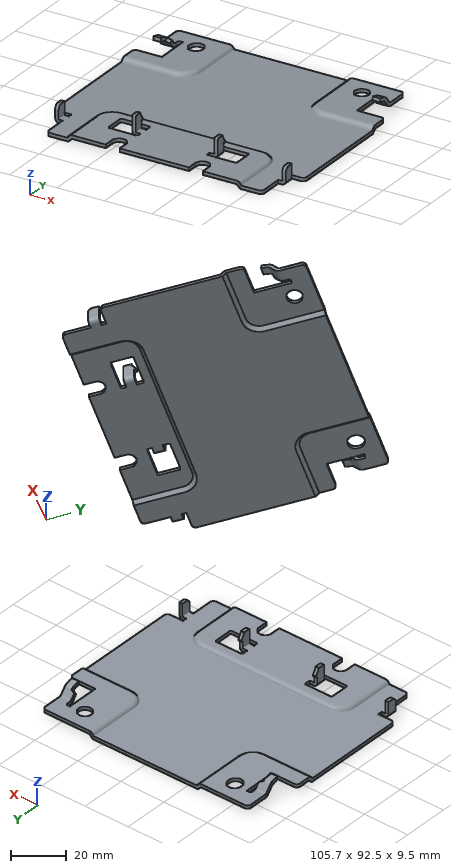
import cadquery as cq
import math


thickness = 1.5
length = 105.7
depth = 92.5
half_length = length / 2
back = depth / 2
front = -depth / 2
corner_radius = 1.6
bend_radius = 0.3
raised_top = 2 * thickness

back_half_width = 47.8
front_half_width = 45.5
back_shoulder = back - 21.5
front_shoulder = front + 16.8
relief_inner = 41.1
relief_end = back - 7.3
relief_radius = 0.6

step_width = 2.2
foot_radius = 0.2
hollow_inset = 0.4
hollow_draft = 45.0
pad_corner_radius = 7.0
back_pad_inner = 24.0
back_pad_front = back - 29.9
front_pad_half_width = 36.7
front_pad_back = front + 26.1
overhang = 10.6

hole_x = 34.9
hole_y = back - 8.2
hole_diameter = 5.9
hole_elongation = 0.5
notch_x = 17.5
notch_width = 5.8
notch_depth = 7.2
window_inner = 14.6
window_outer = 27.1
window_front = front + 12.2
window_back = front + 20.8
window_radius = 0.5

tab_overlap = 0.5

tab_top = 9.5
tab_outer_face = 18.1
tab_front = front + 14.1
tab_back = front + 18.1
tab_corner_radius = 0.6
barb_tip = front + 18.8
barb_low = 5.8
barb_middle = 6.2
barb_high = 6.7
barb_shoulder = 8.4
barb_shoulder_back = front + 17.7
barb_top_back = front + 17.2

side_tab_top = 7.1
side_tab_outer_face = 48.6
side_tab_front = front + 10.9
side_tab_back = front + 15.0
side_tab_radius = 2.0

clip_inner = 42.9
clip_tip_inner = 44.6
clip_bend = back - 9.9
clip_root = back - 9.2
clip_crest = back - 12.9
clip_end = back - 16.4
clip_shoulder_start = 3.0
clip_shoulder_end = 3.8
shoulder_cut_length = 10.6
clip_bend_radius = 1.1
clip_first_slope = 50.0
clip_second_slope = 14.0


def box(x_min, x_max, y_min, y_max, z_min, z_max):
    """Box between the given limits."""
    size = (x_max - x_min, y_max - y_min, z_max - z_min)
    return cq.Workplane("XY").box(*size, centered=False).translate((x_min, y_min, z_min))


def both_sides(body):
    """Body together with its mirror image across the YZ plane."""
    return body.union(body.mirror("YZ"))


def pads(inset, height, taper=0, crest_radius=0):
    """Three pad blocks, set in from the pad feet, running out past the sheet edges."""
    side = half_length + overhang
    footprints = (
        (-side, -back_pad_inner, back_pad_front, back + overhang),
        (back_pad_inner, side, back_pad_front, back + overhang),
        (-front_pad_half_width, front_pad_half_width, front - overhang, front_pad_back),
    )
    blocks = cq.Workplane("XY")
    for x_min, x_max, y_min, y_max in footprints:
        block = (
            cq.Workplane("XY", origin=((x_min + x_max) / 2, (y_min + y_max) / 2, 0))
            .sketch()
            .rect(x_max - x_min - 2 * inset, y_max - y_min - 2 * inset)
            .vertices()
            .fillet(pad_corner_radius - inset)
            .finalize()
            .extrude(height, taper=taper)
        )
        if crest_radius:
            block = block.faces(">Z").edges().fillet(crest_radius)
        blocks = blocks.add(block)
    return blocks.combine()


def pressed_sheet():
    """Flat sheet with the pads pressed upward, hollow below, before it is trimmed."""
    sheet = box(-half_length, half_length, front, back, 0, thickness)
    crest_radius = (step_width ** 2 + thickness ** 2) / (2 * thickness)
    rounded = pads(step_width - crest_radius, raised_top, crest_radius=crest_radius)
    sheet = sheet.union(rounded.intersect(box(-half_length, half_length, front, back, 0, raised_top)))
    flat = sheet.faces("+Z").faces("<Z")
    sheet = flat.edges("not(<X or >X or <Y or >Y)").fillet(foot_radius)
    hollows = pads(hollow_inset, thickness, taper=hollow_draft)
    return sheet.cut(hollows)


def outline():
    """Sheet outline with its corners rounded."""
    half = (
        cq.Workplane("XY")
        .polyline([
            (0, back),
            (-back_half_width, back),
            (-back_half_width, clip_root),
            (-clip_inner, clip_root),
            (-clip_inner, relief_end),
            (-relief_inner, relief_end),
            (-relief_inner, back_shoulder),
            (-half_length, back_shoulder),
            (-half_length, front_shoulder),
            (-front_half_width, front_shoulder),
            (-front_half_width, front),
            (0, front),
        ])
        .close()
        .extrude(tab_top)
    )
    for x, y, radius in (
        (-back_half_width, back, corner_radius),
        (-half_length, back_shoulder, corner_radius),
        (-half_length, front_shoulder, corner_radius),
        (-front_half_width, front, corner_radius),
        (-clip_inner, relief_end, relief_radius),
    ):
        corner = cq.selectors.NearestToPointSelector((x, y, tab_top / 2))
        half = half.edges("|Z").edges(corner).fillet(radius)
    return both_sides(half)


def openings():
    """Cutters for the mounting holes, the front notches and the tab windows."""
    round_hole = cq.Workplane("XY").center(hole_x, hole_y).circle(hole_diameter / 2).extrude(tab_top)
    long_hole = (
        cq.Workplane("XY")
        .center(-hole_x, hole_y)
        .slot2D(hole_diameter + hole_elongation, hole_diameter, 90)
        .extrude(tab_top)
    )
    notch = (
        cq.Workplane("XY")
        .center(-notch_x, front)
        .slot2D(2 * notch_depth, notch_width, 90)
        .extrude(tab_top)
    )
    window = box(-window_outer, -window_inner, window_front, window_back, 0, tab_top)
    window = window.edges("|Z").fillet(window_radius)
    return both_sides(notch.union(window)).union(round_hole).union(long_hole)


def bent_strip(plane, path, width, inner_radius):
    """Sheet strip whose upper surface follows path, extruded over width and rounded at its bends."""
    points = [cq.Vector(u, v) for u, v in path]
    normals = []
    for first, second in zip(points, points[1:]):
        ahead = (second - first).normalized()
        normals.append(cq.Vector(-ahead.y, ahead.x))
    lower = [points[0] - normals[0] * thickness]
    for point, before, after in zip(points[1:], normals, normals[1:]):
        lower.append(point - (before + after) * (thickness / (1 + before.dot(after))))
    lower.append(points[-1] - normals[-1] * thickness)

    section = cq.Workplane(plane).polyline([(p.x, p.y) for p in points + lower[::-1]]).close()
    strip = section.extrude(width)
    for i in range(1, len(points) - 1):
        bends_up = normals[i - 1].cross(normals[i]).z > 0
        inner, outer = (points[i], lower[i]) if bends_up else (lower[i], points[i])
        for corner, radius in ((inner, inner_radius), (outer, inner_radius + thickness)):
            middle = plane.toWorldCoords((corner.x, corner.y, width / 2))
            strip = strip.edges(cq.selectors.NearestToPointSelector(middle.toTuple())).fillet(radius)
    return strip


def upright_tab(root, outer_face, y_min, y_max, floor, top):
    """Tab that leaves the sheet toward +X at root and turns straight up."""
    inner_face = outer_face - thickness
    upper = floor + thickness
    path = [(root, upper), (inner_face, upper), (inner_face, top)]
    plane = cq.Plane(origin=(0, y_max, 0), xDir=(1, 0, 0), normal=(0, -1, 0))
    return bent_strip(plane, path, y_max - y_min, bend_radius)


def window_tab():
    """Barbed tab standing up from the inner edge of a window."""
    root = window_inner - tab_overlap
    tab = upright_tab(root, tab_outer_face, tab_front, barb_tip, thickness, tab_top)
    shape = (
        cq.Workplane("YZ", origin=(root, 0, 0))
        .polyline([
            (tab_front, 0),
            (tab_back, 0),
            (tab_back, barb_low),
            (barb_tip, barb_middle),
            (barb_tip, barb_high),
            (barb_shoulder_back, barb_shoulder),
            (barb_top_back, tab_top),
            (tab_front, tab_top),
        ])
        .close()
        .extrude(tab_outer_face - root)
    )
    shape = shape.edges("|X and >Z and <Y").fillet(tab_corner_radius)
    return tab.intersect(shape)


def side_tab():
    """Round-cornered tab standing up beside the front of the sheet."""
    root = front_half_width - tab_overlap
    tab = upright_tab(root, side_tab_outer_face, side_tab_front, side_tab_back, 0, side_tab_top)
    return tab.edges("|X and >Z and <Y").fillet(side_tab_radius)


def clip():
    """Springy clip beside a back corner, bent up and then partly back toward level."""
    rise = (clip_bend - clip_crest) * math.tan(math.radians(clip_first_slope))
    crest_z = raised_top + rise
    end_z = crest_z + (clip_crest - clip_end) * math.tan(math.radians(clip_second_slope))
    path = [
        (-clip_root - tab_overlap, raised_top),
        (-clip_bend, raised_top),
        (-clip_crest, crest_z),
        (-clip_end, end_z),
    ]
    plane = cq.Plane(origin=(back_half_width, 0, 0), xDir=(0, -1, 0), normal=(-1, 0, 0))
    strip = bent_strip(plane, path, back_half_width - clip_inner, clip_bend_radius)
    slope = math.radians(clip_first_slope)
    slope_plane = cq.Plane(
        origin=(0, clip_bend, raised_top),
        xDir=(1, 0, 0),
        normal=(0, math.sin(slope), math.cos(slope)),
    )
    shoulder = (
        cq.Workplane(slope_plane)
        .polyline([
            (clip_inner, -clip_shoulder_start),
            (clip_tip_inner, -clip_shoulder_end),
            (clip_tip_inner, -shoulder_cut_length),
            (clip_inner, -shoulder_cut_length),
        ])
        .close()
        .extrude(shoulder_cut_length / 2, both=True)
    )
    return strip.cut(shoulder)


sheet = pressed_sheet().intersect(outline()).cut(openings())
result = sheet.union(both_sides(window_tab().union(side_tab()).union(clip())))